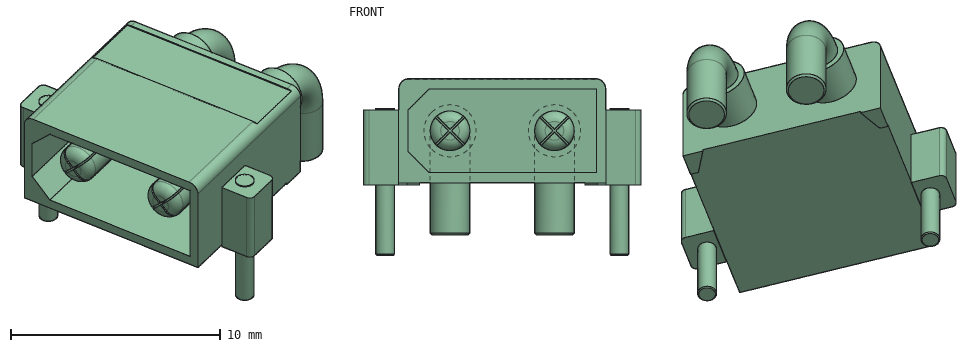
import cadquery as cq


housing_width = 9.9
housing_depth = 9.0
housing_height = 5.0
housing_edge_radius = 0.5
half_housing = housing_width / 2

socket_width = 9.0
socket_height = 4.0
socket_depth = 6.98
key_chamfer = 1.0

label_rear_margin = 0.38
label_length = 3.01
label_depth = 0.05

foot_height = 0.1
foot_length = 1.2
foot_rear_width = 1.0
foot_front_width = 0.4

ear_span = 13.3
ear_length = 2.04
ear_center_y = 3.11
ear_top = 3.5
ear_edge_radius = 0.28
signal_spacing = 11.2
signal_diameter = 0.9
signal_bottom = -3.46
signal_protrusion = 0.05
signal_chamfer = 0.05

contact_spacing = 5.0
contact_z = housing_height / 2
contact_diameter = 1.9
contact_radius = contact_diameter / 2
tip_radius = 0.5
tip_setback = 0.5
slot_width = 0.1
slot_depth = 4.0
collar_diameter = 2.5
collar_length = 2.0
overall_depth = 13.95
leg_bottom = -2.5
leg_chamfer = 0.1

collar_end = housing_depth + collar_length
bend_radius = overall_depth - contact_radius - collar_end


def make_housing():
    """Box with two rounded top edges and the keyed socket in its mating face."""
    box = (
        cq.Workplane("XY")
        .box(housing_width, housing_depth, housing_height, centered=(True, False, False))
        .edges("|Y and >Z")
        .fillet(housing_edge_radius)
    )
    socket = (
        cq.Workplane("XY")
        .box(socket_width, socket_depth, socket_height, centered=(True, False, True))
        .edges("|Y and <X")
        .chamfer(key_chamfer)
        .translate((0, 0, housing_height / 2))
    )
    return box.cut(socket)


def make_label_recess():
    """Shallow cutter running through both sides of the housing top."""
    center_y = housing_depth - label_rear_margin - label_length / 2
    recess = cq.Workplane("XY").box(housing_width, label_length, label_depth)
    return recess.translate((0, center_y, housing_height - label_depth / 2))


def make_foot(side):
    """Pad under a rear corner, with a slanted inner edge."""
    front_y = housing_depth - foot_length
    outline = [
        (side * half_housing, front_y),
        (side * (half_housing - foot_front_width), front_y),
        (side * (half_housing - foot_rear_width), housing_depth),
        (side * half_housing, housing_depth),
    ]
    return cq.Workplane("XY").polyline(outline).close().extrude(-foot_height)


def make_ear(side):
    """Block on the side of the housing with rounded outer corners and its signal pin."""
    ear_width = ear_span / 2 - half_housing
    block = (
        cq.Workplane("XY", origin=(side * (half_housing + ear_width / 2), ear_center_y, -foot_height))
        .box(ear_width, ear_length, ear_top + foot_height, centered=(True, True, False))
        .edges("|Z and >X" if side > 0 else "|Z and <X")
        .fillet(ear_edge_radius)
    )
    pin = (
        cq.Workplane("XY", origin=(side * signal_spacing / 2, ear_center_y, signal_bottom))
        .circle(signal_diameter / 2)
        .extrude(ear_top + signal_protrusion - signal_bottom)
        .faces("<Z")
        .chamfer(signal_chamfer)
    )
    return block.union(pin)


def make_contact(x):
    """Rounded, cross-slotted plug pin that leaves through a collar and bends down to a leg."""
    plug = (
        cq.Workplane("XZ", origin=(x, tip_setback, contact_z))
        .circle(contact_radius)
        .extrude(-(housing_depth - tip_setback))
        .faces("<Y")
        .edges()
        .fillet(tip_radius)
    )
    for angle in (45, -45):
        slot = (
            cq.Workplane("XY")
            .box(collar_diameter, slot_depth, slot_width, centered=(True, False, True))
            .rotate((0, 0, 0), (0, 1, 0), angle)
            .translate((x, tip_setback, contact_z))
        )
        plug = plug.cut(slot)
    collar = (
        cq.Workplane("XZ", origin=(x, socket_depth, contact_z))
        .circle(collar_diameter / 2)
        .extrude(-(collar_end - socket_depth))
    )
    bend = (
        cq.Workplane("XZ", origin=(x, collar_end, contact_z))
        .circle(contact_radius)
        .revolve(90, (0.14, -bend_radius), (-0.14, -bend_radius))
    )
    leg = (
        cq.Workplane("XY", origin=(x, collar_end + bend_radius, leg_bottom))
        .circle(contact_radius)
        .extrude(contact_z - bend_radius - leg_bottom)
        .faces("<Z")
        .chamfer(leg_chamfer)
    )
    return plug.union(collar).union(bend).union(leg)


result = make_housing().cut(make_label_recess())
for side in (-1, 1):
    result = result.union(make_foot(side))
    result = result.union(make_ear(side))
    result = result.union(make_contact(side * contact_spacing / 2))